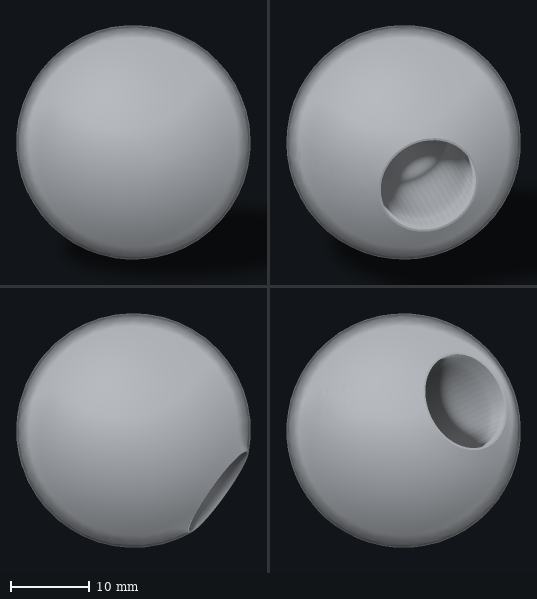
import cadquery as cq
import math

ball_diameter = 30.0
flat_offset = 13.5
hole_diameter = 12.5
hole_depth = 15.0
tip_angle = 118.0

ball_radius = ball_diameter / 2
flat_radius = math.sqrt(ball_radius**2 - flat_offset**2)
hole_radius = hole_diameter / 2
tip_height = hole_radius / math.tan(math.radians(tip_angle / 2))
wall_end = hole_depth - flat_offset

half_section = (
    cq.Workplane("XY")
    .moveTo(wall_end + tip_height, 0)
    .lineTo(wall_end, hole_radius)
    .lineTo(-flat_offset, hole_radius)
    .lineTo(-flat_offset, flat_radius)
    .threePointArc((0, ball_radius), (ball_radius, 0))
    .close()
)

result = half_section.revolve(360, (0, 0, 0), (1, 0, 0))